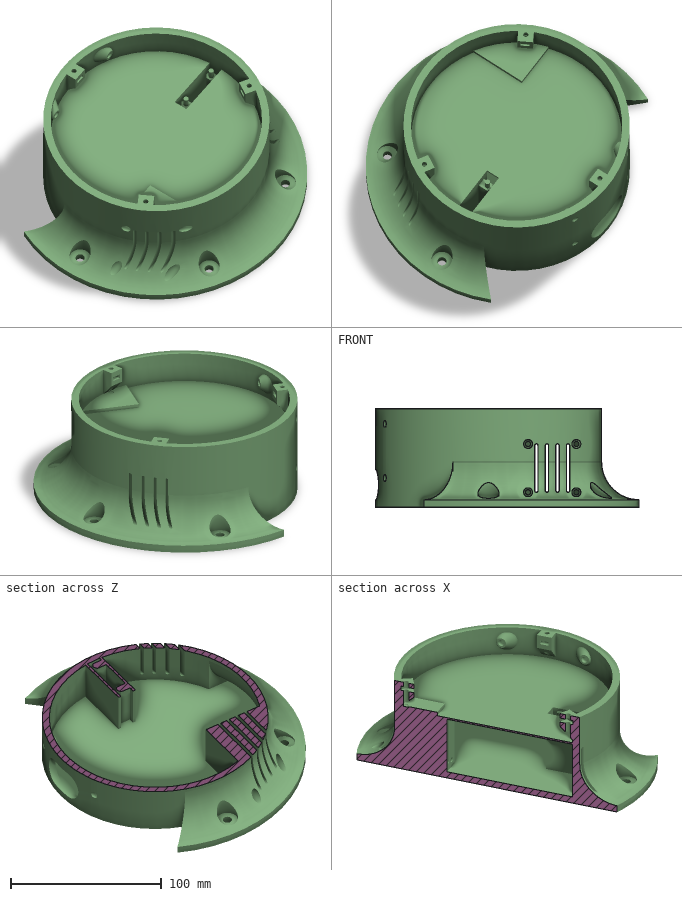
import cadquery as cq
import math

WALL = 5.0
OUTER_RADIUS = 75.0
INNER_RADIUS = OUTER_RADIUS - WALL
HEIGHT = 65.5

DECK_TOP = 45.5
DECK_THICKNESS = 1.5
DECK_BOTTOM = DECK_TOP - DECK_THICKNESS

FLANGE_RADIUS = 100.0
FLANGE_SWEEP_RADIUS = FLANGE_RADIUS - OUTER_RADIUS
FLANGE_TOP = WALL + FLANGE_SWEEP_RADIUS
FLANGE_APEX_X = 47.5
HOLLOW_HALF_WIDTH = 30.0
HOLLOW_END_X = 90.0

BOLT_CIRCLE_RADIUS = 86.0
BOLT_ANGLES = (-90, -30, 30, 90)
BOLT_DIAMETER = 6.0
BOLT_HEAD_DIAMETER = 14.0

WINDOW_WIDTH = 35.0
WINDOW_HEIGHT = 20.0

SCREW_DIAMETER = 3.4
LID_POST_ANGLES = (-60, 60, 180)
LID_POST_WIDTH = 10.4
LID_POST_INNER_X = 62.3
LID_POST_HEIGHT = 9.7
LID_POST_FULL_HEIGHT = 18.0
LID_SCREW_X = 67.4
NUT_SLOT_WIDTH = 6.0
NUT_SLOT_HEIGHT = 2.7
NUT_SLOT_DROP = 5.0
NUT_SLOT_END_X = LID_SCREW_X + NUT_SLOT_WIDTH / 2

FAN_CENTER_X = 42.2
FAN_CENTER_Z = 26.0
FAN_HOLE_PITCH = 32.0
FAN_HEAD_DIAMETER = 5.9
FAN_BLOCK_X = 21.0
FAN_BLOCK_Y = -28.7
FAN_PAD_Y = -35.8
FAN_PAD_RISE = 2.5
FAN_PLATE = 10.0
VENT_COUNT = 4
VENT_PITCH = 7.0
VENT_WIDTH = 2.0

SIDE_HOLE_DIAMETER = 4.4
SIDE_HOLE_Y = 30.0
SIDE_HOLE_HEIGHTS = (19.5, 55.3)
BOSS_END_X = -60.0
BOSS_END_RADIUS = 3.5
BOSS_WALL_X = -INNER_RADIUS
BOSS_WALL_RADIUS = 11.5

PIT_X_MIN = -6.9
PIT_X_MAX = 2.7
PIT_Y_MIN = 30.2
PIT_WALL = 2.0
PEG_X = -2.4
PEG_POSITIONS_Y = (36.9, 65.2)
PEG_DIAMETER = 3.4
PEG_BASE_WIDTH = 6.0
PEG_BASE_TOP = DECK_TOP - 6.3
PEG_BASE_TIP_X = -6.0


def disc(radius, bottom, top):
    return cq.Workplane("XY").workplane(offset=bottom).circle(radius).extrude(top - bottom)


def box(x_min, x_max, y_min, y_max, z_min, z_max):
    size = (x_max - x_min, y_max - y_min, z_max - z_min)
    return cq.Workplane("XY").box(*size, centered=False).translate((x_min, y_min, z_min))


def inside_wall(body):
    """Trim a body so that it ends inside the thickness of the drum wall."""
    return body.intersect(disc(INNER_RADIUS + WALL / 2, 0, HEIGHT))


def flare(wall_radius):
    """Revolved solid whose side runs in a concave quarter circle from the wall out to the floor."""
    center_radius = wall_radius + FLANGE_SWEEP_RADIUS
    reach = FLANGE_SWEEP_RADIUS * math.sqrt(0.5)
    profile = (
        cq.Workplane("XZ")
        .moveTo(0, FLANGE_TOP)
        .lineTo(wall_radius, FLANGE_TOP)
        .threePointArc((center_radius - reach, FLANGE_TOP - reach), (center_radius, WALL))
        .lineTo(0, WALL)
        .close()
    )
    return profile.revolve(360, (0, 0, 0), (0, 1, 0))


def flange_sector():
    """Prism to the right of two 45 degree planes that meet on the X axis."""
    reach = 2 * FLANGE_RADIUS
    back_x = FLANGE_APEX_X - reach
    points = [(FLANGE_APEX_X, 0), (back_x, reach), (reach, reach), (reach, -reach), (back_x, -reach)]
    return cq.Workplane("XY").polyline(points).close().extrude(HEIGHT)


def bolt_points():
    angles = [math.radians(angle) for angle in BOLT_ANGLES]
    return [(BOLT_CIRCLE_RADIUS * math.cos(a), BOLT_CIRCLE_RADIUS * math.sin(a)) for a in angles]


def flange_body():
    rim = disc(FLANGE_RADIUS, 0, WALL)
    sweep = flare(OUTER_RADIUS)
    return rim.union(sweep).intersect(flange_sector())


def cavity():
    """Space under the deck, with a hollow that widens into the flange between the bolts."""
    hollow_limits = box(0, HOLLOW_END_X, -HOLLOW_HALF_WIDTH, HOLLOW_HALF_WIDTH, 0, HEIGHT)
    hollow = flare(INNER_RADIUS).intersect(hollow_limits)
    return disc(INNER_RADIUS, WALL, DECK_BOTTOM).union(hollow)


def bolt_holes():
    """Through holes with head clearance cut down to the rim thickness."""
    shanks = cq.Workplane("XY").pushPoints(bolt_points()).circle(BOLT_DIAMETER / 2).extrude(FLANGE_TOP)
    heads = cq.Workplane("XY").pushPoints(bolt_points()).circle(BOLT_HEAD_DIAMETER / 2).extrude(FLANGE_TOP)
    return shanks.union(heads.translate((0, 0, WALL)))


def window():
    """Rounded opening through the -X wall, level with the floor."""
    return (
        cq.Workplane("YZ", origin=(-OUTER_RADIUS, 0, WALL + WINDOW_HEIGHT / 2))
        .slot2D(WINDOW_WIDTH, WINDOW_HEIGHT)
        .extrude(OUTER_RADIUS / 2)
    )


def lid_post(angle):
    """Screw post on the rim with a sloped underside and a nut slot in its inner face."""
    middle_radius = (INNER_RADIUS + OUTER_RADIUS) / 2
    profile = [
        (LID_POST_INNER_X, HEIGHT),
        (LID_POST_INNER_X, HEIGHT - LID_POST_HEIGHT),
        (INNER_RADIUS, HEIGHT - LID_POST_FULL_HEIGHT),
        (middle_radius, HEIGHT - LID_POST_FULL_HEIGHT),
        (middle_radius, HEIGHT),
    ]
    post = cq.Workplane("XZ").polyline(profile).close().extrude(LID_POST_WIDTH / 2, both=True)
    return post.rotate((0, 0, 0), (0, 0, 1), angle)


def lid_post_cuts(angle):
    hole = disc(SCREW_DIAMETER / 2, HEIGHT - LID_POST_FULL_HEIGHT, HEIGHT).translate((LID_SCREW_X, 0, 0))
    slot_middle = HEIGHT - NUT_SLOT_DROP
    slot = box(
        LID_POST_INNER_X, NUT_SLOT_END_X,
        -NUT_SLOT_WIDTH / 2, NUT_SLOT_WIDTH / 2,
        slot_middle - NUT_SLOT_HEIGHT / 2, slot_middle + NUT_SLOT_HEIGHT / 2,
    )
    return hole.union(slot).rotate((0, 0, 0), (0, 0, 1), angle)


def side_boss(y, z):
    """Tapered boss on the inside of the wall, narrowing towards the drum axis."""
    cone = cq.Solid.makeCone(
        BOSS_WALL_RADIUS, BOSS_END_RADIUS, BOSS_END_X - BOSS_WALL_X,
        cq.Vector(BOSS_WALL_X, y, z), cq.Vector(1, 0, 0),
    )
    return inside_wall(cq.Workplane(cone))


def side_hole(y, z):
    return (
        cq.Workplane("YZ", origin=(-OUTER_RADIUS, y, z))
        .circle(SIDE_HOLE_DIAMETER / 2).extrude(OUTER_RADIUS + BOSS_END_X)
    )


def fan_block():
    """Flat mounting block for the fan, with a pad that stands proud of the deck."""
    block = box(FAN_BLOCK_X, OUTER_RADIUS, -OUTER_RADIUS, FAN_BLOCK_Y, WALL, DECK_TOP)
    pad = box(FAN_BLOCK_X, OUTER_RADIUS, -OUTER_RADIUS, FAN_PAD_Y, DECK_BOTTOM, DECK_TOP + FAN_PAD_RISE)
    return inside_wall(block.union(pad))


def fan_hole_pattern(diameter, start_y):
    """Four cylinders that run from start_y outwards in the -Y direction."""
    return (
        cq.Workplane("XZ", origin=(FAN_CENTER_X, start_y, FAN_CENTER_Z))
        .rarray(FAN_HOLE_PITCH, FAN_HOLE_PITCH, 2, 2)
        .circle(diameter / 2)
        .extrude(FLANGE_RADIUS)
    )


def fan_screw_holes():
    shanks = fan_hole_pattern(SCREW_DIAMETER, FAN_BLOCK_Y)
    heads = fan_hole_pattern(FAN_HEAD_DIAMETER, FAN_BLOCK_Y - FAN_PLATE)
    return shanks.union(heads)


def vents():
    """Vertical slots that pass through both sides of the drum and flange."""
    return (
        cq.Workplane("XZ", origin=(FAN_CENTER_X, 0, FAN_CENTER_Z))
        .rarray(VENT_PITCH, 1, VENT_COUNT, 1)
        .slot2D(FAN_HOLE_PITCH, VENT_WIDTH, 90)
        .extrude(FLANGE_RADIUS, both=True)
    )


def pit_walls():
    """Block around the pit; its inner end stays open below the deck once the pit is cut."""
    x_min = PIT_X_MIN - PIT_WALL
    x_max = PIT_X_MAX + PIT_WALL
    return inside_wall(box(x_min, x_max, PIT_Y_MIN, OUTER_RADIUS, WALL, DECK_TOP))


def pit():
    opening = box(PIT_X_MIN, PIT_X_MAX, PIT_Y_MIN, OUTER_RADIUS, WALL, DECK_TOP)
    return opening.intersect(disc(INNER_RADIUS, 0, HEIGHT))


def peg(y):
    """Round peg on a base with one pointed end."""
    half_width = PEG_BASE_WIDTH / 2
    shoulder_x = PEG_BASE_TIP_X + half_width * math.tan(math.radians(30))
    outline = [
        (PEG_BASE_TIP_X, y),
        (shoulder_x, y + half_width),
        (PIT_X_MAX, y + half_width),
        (PIT_X_MAX, y - half_width),
        (shoulder_x, y - half_width),
    ]
    base = cq.Workplane("XY").polyline(outline).close().extrude(PEG_BASE_TOP)
    return base.union(disc(PEG_DIAMETER / 2, 0, DECK_TOP).translate((PEG_X, y, 0)))


result = disc(OUTER_RADIUS, 0, HEIGHT).union(flange_body())
result = result.cut(disc(INNER_RADIUS, DECK_TOP, HEIGHT)).cut(cavity())
result = result.union(fan_block()).union(pit_walls()).cut(pit())

for peg_y in PEG_POSITIONS_Y:
    result = result.union(peg(peg_y))
for post_angle in LID_POST_ANGLES:
    result = result.union(lid_post(post_angle)).cut(lid_post_cuts(post_angle))

for side in (-1, 1):
    for hole_z in SIDE_HOLE_HEIGHTS:
        result = result.union(side_boss(side * SIDE_HOLE_Y, hole_z))
        result = result.cut(side_hole(side * SIDE_HOLE_Y, hole_z))

result = result.cut(bolt_holes()).cut(window()).cut(vents()).cut(fan_screw_holes())